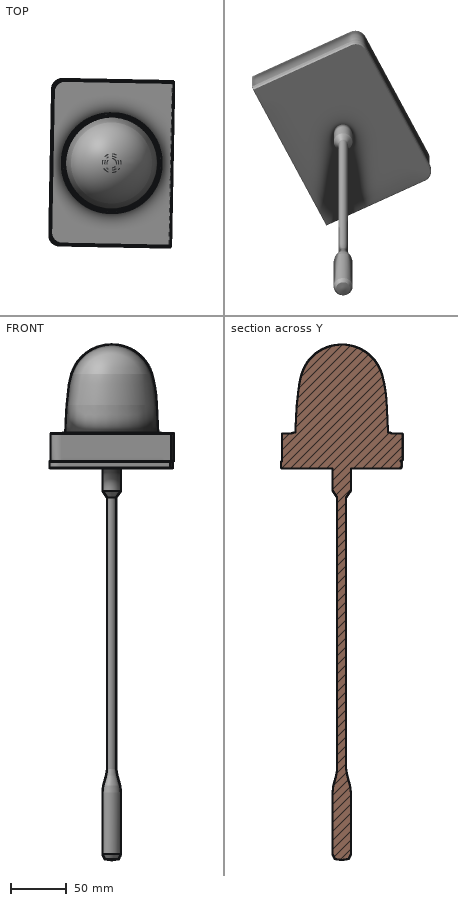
import cadquery as cq

BOX_TWIST = -1.1
PLATE_LEFT = -55.0
PLATE_RIGHT = 54.0
PLATE_SIZE_Y = 150.05
PLATE_HEIGHT = 7.0
PLATE_EDGE_CHAMFER = 1.0
COVER_LEFT = -54.0
COVER_RIGHT = 54.92
COVER_SIZE_Y = 148.0
COVER_TOP = 32.0
COVER_EDGE_CHAMFER = 0.7
CORNER_RADIUS = 10.0

DOME_BASE_RADIUS = 42.0
DOME_BAND_RADIUS = 40.8
DOME_CAP_RADIUS = 36.5
DOME_BAND_Z = 57.0
DOME_CAP_Z = 85.0
DOME_TOP_Z = 112.0
BAND_BULGE = 0.9
FLANGE_RADIUS = 45.0
FLANGE_LIP_RADIUS = 43.0
FLANGE_HEIGHT = 0.7

STUB_RADIUS = 8.4
STUB_END_Z = -20.0
STUB_TAPER_END_Z = -26.0
ROD_RADIUS = 4.25

OVERALL_HEIGHT = 464.8
TIP_Z = DOME_TOP_Z - OVERALL_HEIGHT
GRIP_RADIUS = 8.5
GRIP_SHOULDER_Z = TIP_Z + 61.0
GRIP_COLLAR_Z = TIP_Z + 67.0
GRIP_COLLAR_RADIUS = 7.8
GRIP_NECK_Z = TIP_Z + 76.0
GRIP_NECK_RADIUS = 5.3
ROD_END_Z = TIP_Z + 82.0
TIP_CHAMFER = 4.5
TIP_RADIUS = 6.3
TIP_CROWN = 1.0


def make_slab(left, right, size_y, bottom_z, top_z):
    """Rectangular slab with its two -X corners rounded."""
    slab = (
        cq.Workplane("XY", origin=((left + right) / 2, 0, bottom_z))
        .rect(right - left, size_y)
        .extrude(top_z - bottom_z)
    )
    return slab.edges("|Z and <X").fillet(CORNER_RADIUS)


def make_plate():
    plate = make_slab(PLATE_LEFT, PLATE_RIGHT, PLATE_SIZE_Y, 0, PLATE_HEIGHT)
    return plate.faces("<Z or >Z").edges().chamfer(PLATE_EDGE_CHAMFER)


def make_cover():
    cover = make_slab(COVER_LEFT, COVER_RIGHT, COVER_SIZE_Y, PLATE_HEIGHT, COVER_TOP)
    return cover.faces(">Z").edges().chamfer(COVER_EDGE_CHAMFER)


def make_dome():
    flange_top_z = COVER_TOP + FLANGE_HEIGHT
    cap_height = DOME_TOP_Z - DOME_CAP_Z
    sphere_radius = (DOME_CAP_RADIUS**2 + cap_height**2) / (2 * cap_height)
    cap_mid_z = DOME_TOP_Z - sphere_radius + (sphere_radius**2 - (DOME_CAP_RADIUS / 2) ** 2) ** 0.5
    band_mid = (
        (DOME_BAND_RADIUS + DOME_CAP_RADIUS) / 2 + BAND_BULGE,
        (DOME_BAND_Z + DOME_CAP_Z) / 2,
    )
    profile = (
        cq.Workplane("XZ")
        .moveTo(0, COVER_TOP)
        .lineTo(FLANGE_RADIUS, COVER_TOP)
        .lineTo(FLANGE_LIP_RADIUS, flange_top_z)
        .lineTo(DOME_BASE_RADIUS, flange_top_z)
        .lineTo(DOME_BAND_RADIUS, DOME_BAND_Z)
        .threePointArc(band_mid, (DOME_CAP_RADIUS, DOME_CAP_Z))
        .threePointArc((DOME_CAP_RADIUS / 2, cap_mid_z), (0, DOME_TOP_Z))
        .close()
    )
    return profile.revolve(360, (0, 0, 0), (0, 1, 0))


def make_stem():
    grip_bottom = TIP_Z + TIP_CROWN
    profile = (
        cq.Workplane("XZ")
        .moveTo(0, PLATE_HEIGHT)
        .lineTo(STUB_RADIUS, PLATE_HEIGHT)
        .lineTo(STUB_RADIUS, STUB_END_Z)
        .lineTo(ROD_RADIUS, STUB_TAPER_END_Z)
        .lineTo(ROD_RADIUS, ROD_END_Z)
        .lineTo(GRIP_NECK_RADIUS, GRIP_NECK_Z)
        .lineTo(GRIP_COLLAR_RADIUS, GRIP_COLLAR_Z)
        .lineTo(GRIP_RADIUS, GRIP_SHOULDER_Z)
        .lineTo(GRIP_RADIUS, grip_bottom + TIP_CHAMFER)
        .lineTo(TIP_RADIUS, grip_bottom)
        .lineTo(0, TIP_Z)
        .close()
    )
    return profile.revolve(360, (0, 0, 0), (0, 1, 0))


box = make_plate().union(make_cover()).rotate((0, 0, 0), (0, 0, 1), BOX_TWIST)
result = box.union(make_dome()).union(make_stem())